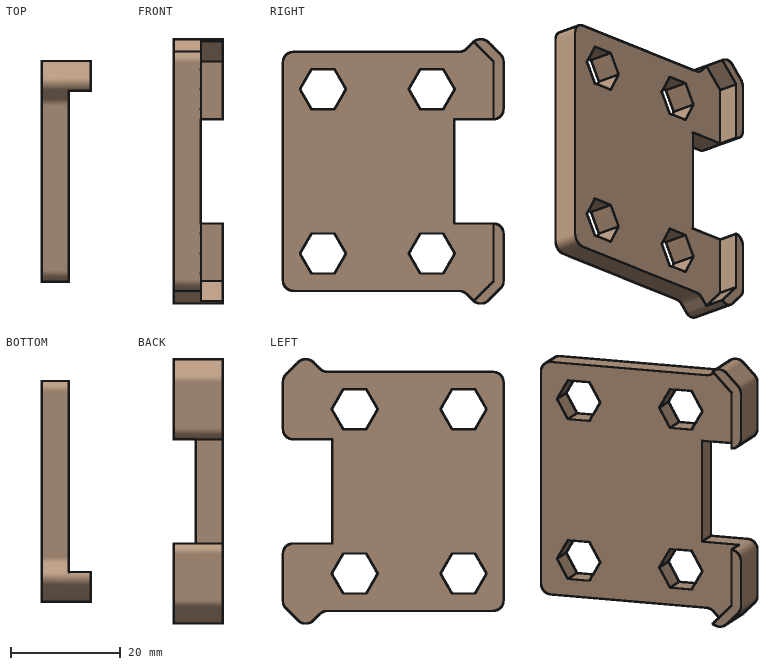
import cadquery as cq
import math

total_depth = 9.0
plate_thickness = 5.0
width = 40.35
height = 48.35
body_height = 43.7
corner_radius = 2.0

ear_apex_inset = 4.2

notch_depth = 9.05
notch_height = 18.95

lip_thickness = 1.85

hex_across_flats = 7.25
hex_edge_inset = 13.15
hex_spacing_y = 19.85
hex_spacing_z = 30.0

apex_z = height / 2 + corner_radius * (math.sqrt(2) - 1)
apex_y = width - ear_apex_inset
shoulder_z = apex_z - ear_apex_inset
ear_root_y = apex_y - (apex_z - body_height / 2)


def mirrored(upper_points):
    """Complete an outline that is symmetric about Z = 0."""
    return upper_points + [(y, -z) for y, z in reversed(upper_points)]


def extrude_outline(points, depth):
    return cq.Workplane("YZ").polyline(points).close().extrude(depth)


def make_silhouette(depth):
    """Plate with ears and notch; all corners rounded except inside the notch."""
    notch_floor_y = width - notch_depth
    upper_outline = [
        (0, body_height / 2),
        (ear_root_y, body_height / 2),
        (apex_y, apex_z),
        (width, shoulder_z),
        (width, notch_height / 2),
        (notch_floor_y, notch_height / 2),
    ]
    notch_corners = cq.selectors.BoxSelector(
        (-0.5, notch_floor_y - 0.5, -notch_height),
        (depth + 0.5, notch_floor_y + 0.5, notch_height),
    )
    body = extrude_outline(mirrored(upper_outline), depth)
    rounded_edges = body.edges("|X").edges(cq.selectors.InverseSelector(notch_corners))
    return body.newObject(rounded_edges.vals()).edges().fillet(corner_radius)


def make_lip_region():
    """Band of even thickness just inside the outer faces of both ears."""
    inner_y = width - lip_thickness
    inner_shoulder_z = shoulder_z - lip_thickness * math.tan(math.pi / 8)
    slope_length = inner_y - ear_root_y
    upper_outline = [
        (width, 0),
        (width, height),
        (ear_root_y, height),
        (ear_root_y, inner_shoulder_z + slope_length),
        (inner_y, inner_shoulder_z),
        (inner_y, 0),
    ]
    upper = extrude_outline(upper_outline, total_depth)
    return upper.union(upper.mirror("XY"))


def make_hex_holes():
    hex_across_corners = hex_across_flats / math.cos(math.pi / 6)
    return (
        cq.Workplane("YZ")
        .center(width - hex_edge_inset - hex_spacing_y / 2, 0)
        .rarray(hex_spacing_y, hex_spacing_z, 2, 2)
        .polygon(6, hex_across_corners)
        .extrude(plate_thickness)
    )


plate = make_silhouette(plate_thickness).cut(make_hex_holes())
lips = make_silhouette(total_depth).intersect(make_lip_region())
result = plate.union(lips)